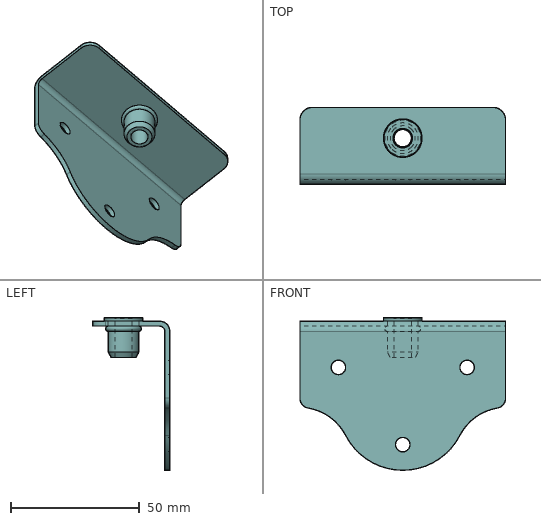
import cadquery as cq
import math

WIDTH = 80.0
FLANGE_DEPTH = 30.0
PLATE_HEIGHT = 58.0
THICKNESS = 2.0
BEND_RADIUS = 4.0
FLANGE_CORNER_RADIUS = 5.0

LOBE_RADIUS = 25.0
NOTCH_RADIUS = 20.0
PLATE_CORNER_RADIUS = 4.0

SCREW_HOLE_DIAMETER = 5.5
UPPER_HOLE_SPACING = 50.0
UPPER_HOLE_DROP = 18.0
LOWER_HOLE_DROP = 48.0

BUSHING_Y = 18.0
CAP_DIAMETER = 15.0
CAP_HEIGHT = 1.4
CAP_CHAMFER = 0.2
BUSHING_DIAMETER = 12.0
BUSHING_DROP = 14.2
BEAD_DIAMETER = 14.0
BEAD_HEIGHT = 2.0
TIP_DIAMETER = 9.7
TIP_HEIGHT = 2.1
BORE_DIAMETER = 6.6
BORE_CHAMFER = 0.5

HALF_WIDTH = WIDTH / 2


def polar(center, radius, angle):
    """Point at an angle, in radians, on a circle."""
    return center[0] + radius * math.cos(angle), center[1] + radius * math.sin(angle)


def mirrored(point):
    """Point reflected across the centre line of the plate."""
    return -point[0], point[1]


def make_plate():
    """Vertical plate, from the lower end of the bend down, with tangent arcs below."""
    lobe_center = (0, LOBE_RADIUS - PLATE_HEIGHT)
    notch_drop = math.sqrt((LOBE_RADIUS + NOTCH_RADIUS) ** 2 - HALF_WIDTH ** 2)
    notch_center = (HALF_WIDTH, lobe_center[1] - notch_drop)
    corner_rise = math.sqrt((NOTCH_RADIUS + PLATE_CORNER_RADIUS) ** 2 - PLATE_CORNER_RADIUS ** 2)
    corner_center = (HALF_WIDTH - PLATE_CORNER_RADIUS, notch_center[1] + corner_rise)

    to_corner = math.atan2(corner_rise, -PLATE_CORNER_RADIUS)
    to_lobe = math.atan2(notch_drop, -HALF_WIDTH)

    side_end = (HALF_WIDTH, corner_center[1])
    corner_middle = polar(corner_center, PLATE_CORNER_RADIUS, (to_corner - math.pi) / 2)
    corner_end = polar(notch_center, NOTCH_RADIUS, to_corner)
    notch_middle = polar(notch_center, NOTCH_RADIUS, (to_corner + to_lobe) / 2)
    notch_end = polar(notch_center, NOTCH_RADIUS, to_lobe)

    return (
        cq.Workplane("XZ")
        .moveTo(-HALF_WIDTH, -BEND_RADIUS)
        .lineTo(HALF_WIDTH, -BEND_RADIUS)
        .lineTo(*side_end)
        .threePointArc(corner_middle, corner_end)
        .threePointArc(notch_middle, notch_end)
        .threePointArc((0, -PLATE_HEIGHT), mirrored(notch_end))
        .threePointArc(mirrored(notch_middle), mirrored(corner_end))
        .threePointArc(mirrored(corner_middle), mirrored(side_end))
        .close()
        .extrude(-THICKNESS)
    )


def make_bend():
    """Quarter ring that joins the plate to the flange."""
    inner_radius = BEND_RADIUS - THICKNESS
    bend_center = (BEND_RADIUS, -BEND_RADIUS)
    middle_angle = math.radians(135)
    return (
        cq.Workplane("YZ", origin=(-HALF_WIDTH, 0, 0))
        .moveTo(0, -BEND_RADIUS)
        .threePointArc(polar(bend_center, BEND_RADIUS, middle_angle), (BEND_RADIUS, 0))
        .lineTo(BEND_RADIUS, -THICKNESS)
        .threePointArc(polar(bend_center, inner_radius, middle_angle), (THICKNESS, -BEND_RADIUS))
        .close()
        .extrude(WIDTH)
    )


def make_flange():
    """Horizontal flange with rounded rear corners."""
    return (
        cq.Workplane("XY")
        .box(WIDTH, FLANGE_DEPTH - BEND_RADIUS, THICKNESS, centered=(True, False, False))
        .translate((0, BEND_RADIUS, -THICKNESS))
        .edges("|Z and >Y")
        .fillet(FLANGE_CORNER_RADIUS)
    )


def make_screw_holes():
    """Cutters for the three screw holes in the plate."""
    centers = [
        (-UPPER_HOLE_SPACING / 2, -UPPER_HOLE_DROP),
        (UPPER_HOLE_SPACING / 2, -UPPER_HOLE_DROP),
        (0, -LOWER_HOLE_DROP),
    ]
    return cq.Workplane("XZ").pushPoints(centers).circle(SCREW_HOLE_DIAMETER / 2).extrude(-THICKNESS)


def make_bushing_hole():
    """Cutter for the flange hole that holds the bushing."""
    return (
        cq.Workplane("XY")
        .center(0, BUSHING_Y)
        .circle(BUSHING_DIAMETER / 2)
        .extrude(-THICKNESS)
    )


def make_bracket():
    """Bent sheet bracket with all its holes."""
    sheet = make_plate().union(make_bend()).union(make_flange())
    return sheet.cut(make_screw_holes()).cut(make_bushing_hole())


def make_bushing():
    """Revolved bushing: cap above the flange, bead below it and a tapered tip."""
    cap_radius = CAP_DIAMETER / 2
    body_radius = BUSHING_DIAMETER / 2
    bore_radius = BORE_DIAMETER / 2
    bead_middle = (BEAD_DIAMETER / 2, -THICKNESS - BEAD_HEIGHT / 2)
    bead_end = (body_radius, -THICKNESS - BEAD_HEIGHT)
    return (
        cq.Workplane("XZ", origin=(0, BUSHING_Y, 0))
        .moveTo(bore_radius + BORE_CHAMFER, CAP_HEIGHT)
        .lineTo(cap_radius - CAP_CHAMFER, CAP_HEIGHT)
        .lineTo(cap_radius, CAP_HEIGHT - CAP_CHAMFER)
        .lineTo(cap_radius, 0)
        .lineTo(body_radius, 0)
        .lineTo(body_radius, -THICKNESS)
        .threePointArc(bead_middle, bead_end)
        .lineTo(body_radius, TIP_HEIGHT - BUSHING_DROP)
        .lineTo(TIP_DIAMETER / 2, -BUSHING_DROP)
        .lineTo(bore_radius, -BUSHING_DROP)
        .lineTo(bore_radius, CAP_HEIGHT - BORE_CHAMFER)
        .close()
        .revolve(360, (0, 0, 0), (0, 1, 0))
    )


bracket = make_bracket()
bushing = make_bushing()

result = cq.Compound.makeCompound([bracket.val(), bushing.val()])